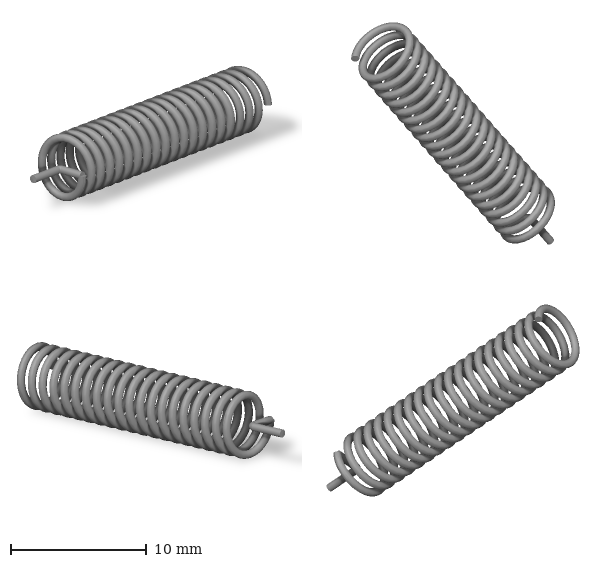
import cadquery as cq

wire_diameter = 0.6
coil_outer_diameter = 5.0
coil_pitch = 1.04
coil_turns = 20
leg_reach = 3.0
bend_angle = 90

wire_radius = wire_diameter / 2
coil_radius = coil_outer_diameter / 2 - wire_radius
coil_length = coil_pitch * coil_turns
bend_radius = wire_radius
leg_length = leg_reach - bend_radius
arm_length = coil_radius - bend_radius


def make_arm():
    """Straight radial wire along +X, from the bend to the start of the coil."""
    return cq.Workplane("YZ", origin=(bend_radius, 0, 0)).circle(wire_radius).extrude(arm_length)


def make_leg():
    """Straight wire on the coil axis, with the bend that turns it towards the arm."""
    section = cq.Workplane("XZ", origin=(0, -bend_radius, 0)).circle(wire_radius)
    straight = section.extrude(leg_length)
    bend = (
        cq.Workplane("XZ", origin=(0, -bend_radius, 0))
        .circle(wire_radius)
        .revolve(bend_angle, (bend_radius, 0, 0), (bend_radius, -1, 0))
    )
    return straight.union(bend)


def make_coil():
    """Right-handed helical wire, built along +Z from +X, then laid along +Y."""
    path = cq.Workplane(obj=cq.Wire.makeHelix(coil_pitch, coil_length, coil_radius))
    upright = (
        cq.Workplane("XZ", origin=(coil_radius, 0, 0))
        .circle(wire_radius)
        .sweep(path, isFrenet=True)
    )
    return upright.rotate((0, 0, 0), (1, 0, 0), -90)


arm = make_arm()
leg = make_leg()
coil = make_coil().cut(arm)

result = cq.Compound.makeCompound([body.solids().val() for body in (coil, arm, leg)])